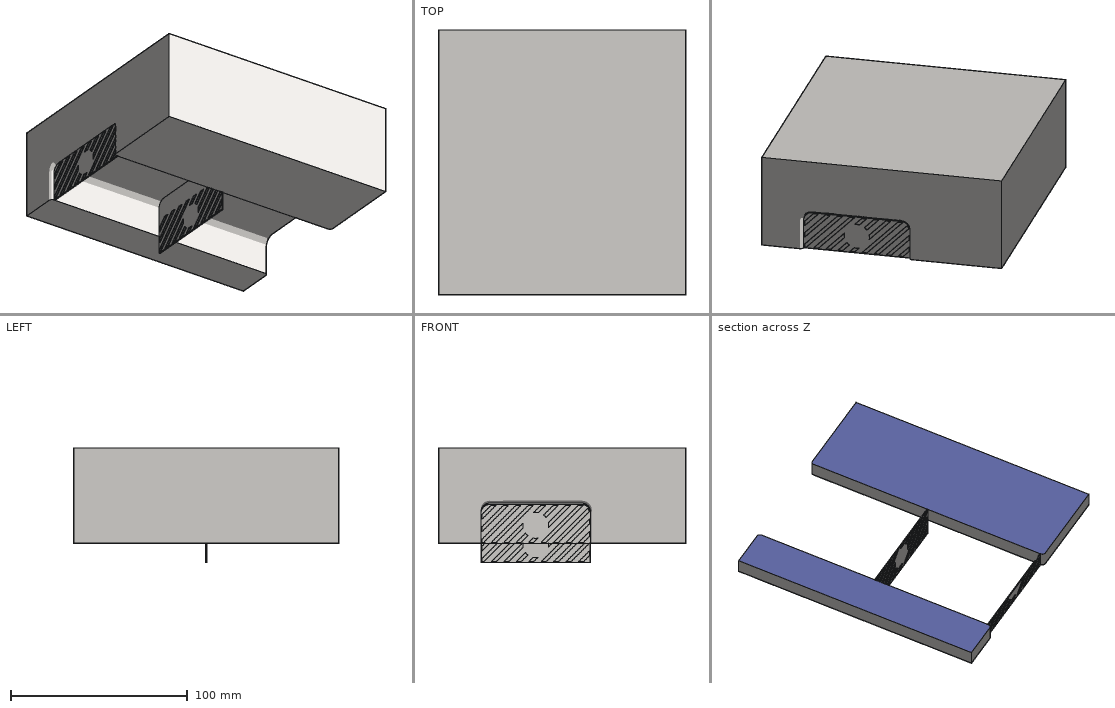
import cadquery as cq
import math

BLOCK_WIDTH = 140.0
BLOCK_LENGTH = 150.0
BLOCK_HEIGHT = 54.0

TUNNEL_X = -15.0
TUNNEL_WIDTH = 62.0
TUNNEL_HEIGHT = 22.8
TUNNEL_CORNER_RADIUS = 5.0
MOUTH_RADIUS = 2.0

PANEL_THICKNESS = 0.8
FRONT_PANEL_RECESS = MOUTH_RADIUS
FRONT_PANEL_GAP = 0.8
FRONT_PANEL_HEIGHT = TUNNEL_HEIGHT - FRONT_PANEL_GAP
MIDDLE_PANEL_DROP = 11.0
FRONT_PANEL_Y = FRONT_PANEL_RECESS - BLOCK_LENGTH / 2
MIDDLE_PANEL_Y = -PANEL_THICKNESS / 2

STRIPE_ANGLE = 45.0
STRIPE_WIDTH = 2.0
STRIPE_STEP = 7.0
STRIPE_PITCH = STRIPE_STEP * math.sin(math.radians(STRIPE_ANGLE))
STRIPE_DEPTH = 0.3
STRIPE_BORDER = 0.6
STRIPE_CENTRE_HEIGHT = 10.2
PLAIN_FIELD_RADIUS = 7.4


def arch(width, height, corner_radius, length):
    """Upright slab with rounded top corners, from Y = 0 to Y = length, standing on Z = 0."""
    slab = cq.Workplane("XY").box(width, length, height, centered=(True, False, False))
    return slab.edges("|Y and >Z").fillet(corner_radius)


def make_block():
    """Plain block with the tunnel running through it."""
    block = cq.Workplane("XY").box(
        BLOCK_WIDTH, BLOCK_LENGTH, BLOCK_HEIGHT, centered=(True, True, False)
    )
    tunnel = arch(TUNNEL_WIDTH, TUNNEL_HEIGHT, TUNNEL_CORNER_RADIUS, BLOCK_LENGTH)
    block = block.cut(tunnel.translate((TUNNEL_X, -BLOCK_LENGTH / 2, 0)))

    mouth_reach = TUNNEL_WIDTH / 2 + MOUTH_RADIUS
    mouth_area = cq.selectors.BoxSelector(
        (TUNNEL_X - mouth_reach, -BLOCK_LENGTH, MOUTH_RADIUS),
        (TUNNEL_X + mouth_reach, BLOCK_LENGTH, TUNNEL_HEIGHT + MOUTH_RADIUS),
    )
    for end in ("<Y", ">Y"):
        block = block.faces(end).edges(mouth_area).fillet(MOUTH_RADIUS)
    return block


def make_stripes():
    """Stripe pockets of a panel whose front face is at Y = 0 and whose foot is at Z = 0."""
    field = arch(
        TUNNEL_WIDTH - 2 * STRIPE_BORDER,
        FRONT_PANEL_HEIGHT - 2 * STRIPE_BORDER,
        TUNNEL_CORNER_RADIUS - STRIPE_BORDER,
        STRIPE_DEPTH,
    ).translate((0, 0, STRIPE_BORDER))

    reach = math.hypot(TUNNEL_WIDTH, FRONT_PANEL_HEIGHT)
    side_count = math.ceil(reach / 2 / STRIPE_PITCH)
    offsets = [(0, number * STRIPE_PITCH) for number in range(-side_count, side_count + 1)]
    bars = (
        cq.Workplane("XZ")
        .pushPoints(offsets)
        .rect(reach, STRIPE_WIDTH)
        .extrude(-STRIPE_DEPTH)
        .rotate((0, 0, 0), (0, 1, 0), -STRIPE_ANGLE)
        .translate((0, 0, STRIPE_CENTRE_HEIGHT))
    )
    plain_field = (
        cq.Workplane("XZ")
        .center(0, STRIPE_CENTRE_HEIGHT)
        .circle(PLAIN_FIELD_RADIUS)
        .extrude(-STRIPE_DEPTH)
    )
    return field.intersect(bars).cut(plain_field)


def make_panel(height, y, foot):
    """Striped panel with its front face at `y` and its foot at the height `foot`."""
    panel = arch(TUNNEL_WIDTH, height, TUNNEL_CORNER_RADIUS, PANEL_THICKNESS)
    return panel.cut(make_stripes()).translate((TUNNEL_X, y, foot))


block = make_block()
front_panel = make_panel(FRONT_PANEL_HEIGHT, FRONT_PANEL_Y, 0)
middle_panel = make_panel(TUNNEL_HEIGHT + MIDDLE_PANEL_DROP, MIDDLE_PANEL_Y, -MIDDLE_PANEL_DROP)

result = cq.Compound.makeCompound([block.val(), front_panel.val(), middle_panel.val()])